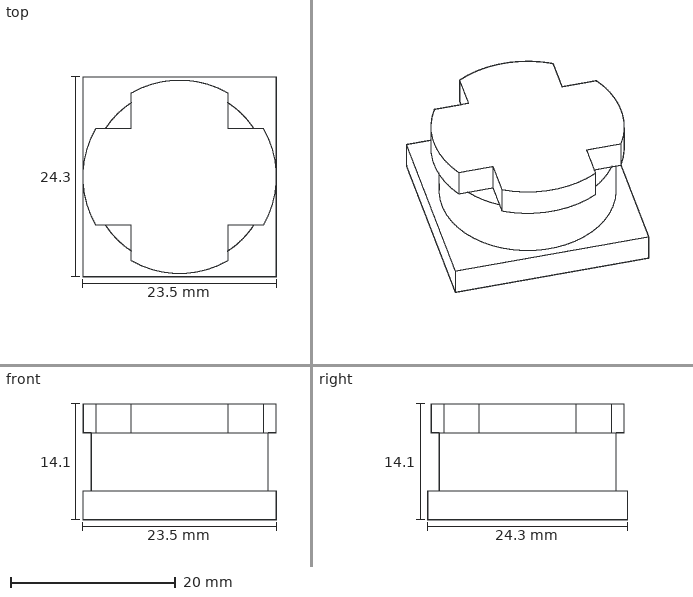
import cadquery as cq

base_length_x = 23.5
base_length_y = 24.3
total_height = 14.1

base_height = 3.52
cap_height = 3.52
core_height = total_height - base_height - cap_height
core_diameter = 21.5
cap_diameter = base_length_x
cap_arm_width = cap_diameter / 2


def make_base():
    """Rectangular base plate, its underside at Z = 0."""
    return cq.Workplane("XY").box(
        base_length_x, base_length_y, base_height, centered=(True, True, False)
    )


def make_core():
    """Round body between the base and the cap."""
    return cq.Workplane("XY").workplane(offset=base_height).circle(core_diameter / 2).extrude(core_height)


def make_cap():
    """Cross-shaped cap with its arm ends rounded to one circle."""
    cap_plane = cq.Workplane("XY").workplane(offset=base_height + core_height)
    disc = cap_plane.circle(cap_diameter / 2).extrude(cap_height)
    arm_x = cap_plane.rect(cap_diameter, cap_arm_width).extrude(cap_height)
    arm_y = cap_plane.rect(cap_arm_width, cap_diameter).extrude(cap_height)
    return disc.intersect(arm_x.union(arm_y))


result = make_base().union(make_core()).union(make_cap())